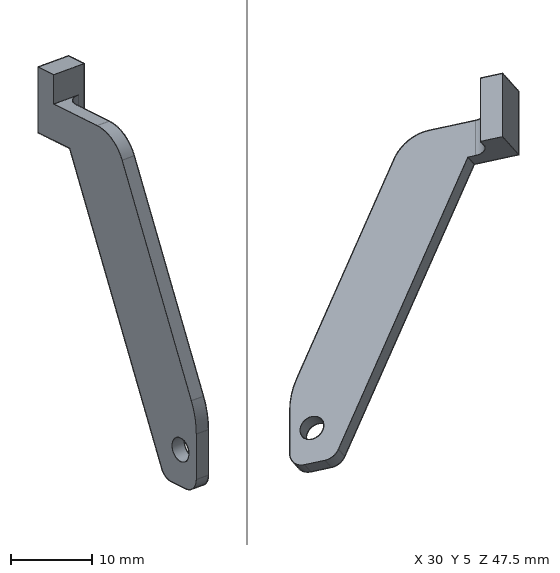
import cadquery as cq
import math

width = 29.95
depth = 5.0
height = 47.5

plate_thickness = 2.0
arm_angle = 65.0
arm_top_corner_x = 14.55
shoulder_radius = 5.22
elbow_radius = 9.98
tip_radius = 2.0

tab_width = 3.0
tab_height = 9.0
shoulder_drop = 4.0
neck_length = 3.0
root_radius = 2.0

hole_diameter = 3.2
hole_edge_distance = 3.0
hole_height = 5.0

tab_bottom = height - tab_height
arm_top = height - shoulder_drop
inner_bend_x = tab_width + neck_length
arm_slope = math.tan(math.radians(arm_angle))
tip_left_x = inner_bend_x + tab_bottom / arm_slope
elbow_z = arm_top - (width - arm_top_corner_x) * arm_slope


def round_corner(body, x, z, radius):
    """Round the arm edge that runs along Y through (x, z)."""
    reach = 0.05
    corner = cq.selectors.BoxSelector(
        (x - reach, -reach, z - reach),
        (x + reach, plate_thickness + reach, z + reach),
    )
    return body.edges(corner).fillet(radius)


def make_arm():
    outline = [
        (0, tab_bottom),
        (inner_bend_x, tab_bottom),
        (tip_left_x, 0),
        (width, 0),
        (width, elbow_z),
        (arm_top_corner_x, arm_top),
        (0, arm_top),
    ]
    arm = cq.Workplane("XZ").polyline(outline).close().extrude(-plate_thickness)
    arm = round_corner(arm, arm_top_corner_x, arm_top, shoulder_radius)
    arm = round_corner(arm, width, elbow_z, elbow_radius)
    arm = round_corner(arm, width, 0, tip_radius)
    return round_corner(arm, tip_left_x, 0, tip_radius)


def make_tab():
    return cq.Workplane("XY").box(tab_width, depth, tab_height, centered=False).translate((0, 0, tab_bottom))


def make_root_fillet():
    """Concave fillet between the tab's side and the back of the arm."""
    diagonal = root_radius * (1 - math.sqrt(0.5))
    return (
        cq.Workplane("XY", origin=(tab_width, plate_thickness, tab_bottom))
        .lineTo(root_radius, 0)
        .threePointArc((diagonal, diagonal), (0, root_radius))
        .close()
        .extrude(arm_top - tab_bottom)
    )


def make_hole():
    return (
        cq.Workplane("XZ")
        .center(width - hole_edge_distance, hole_height)
        .circle(hole_diameter / 2)
        .extrude(-plate_thickness)
    )


result = make_arm().union(make_tab()).union(make_root_fillet()).cut(make_hole())